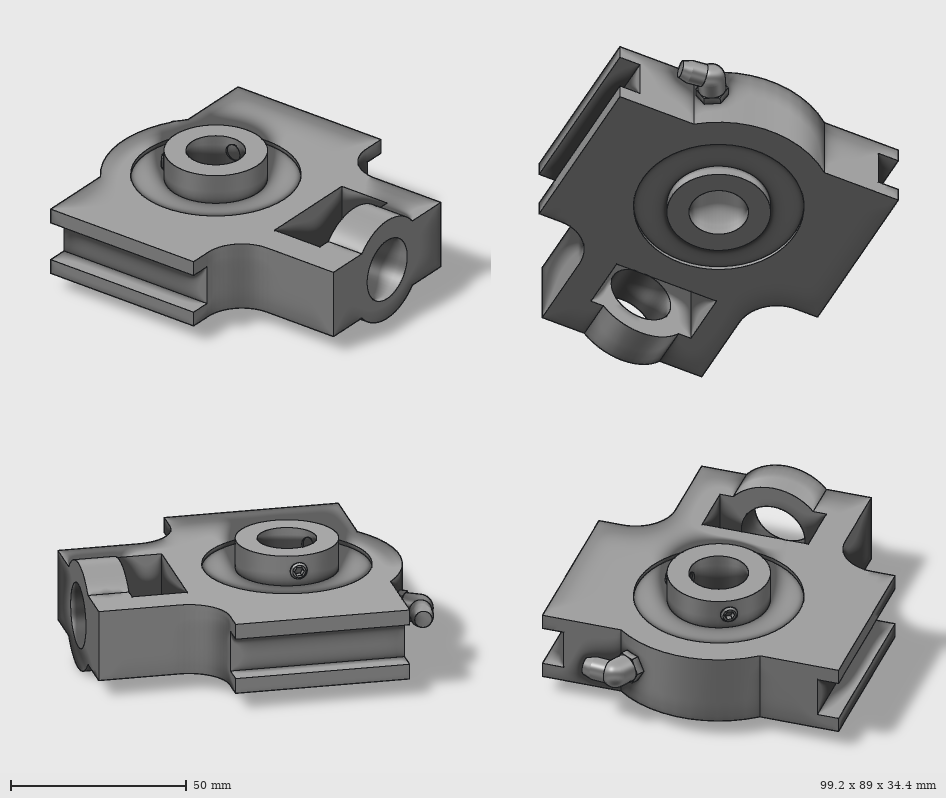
import cadquery as cq
import math


plate_width = 89.0
plate_thickness = 21.0
plate_half_length = 25.5
arm_half_width = 25.5
arm_end_x = 61.1
corner_radius = 12.0
nose_radius = 32.9

groove_width = 12.0
groove_depth = 6.3

window_start_x = 32.9
window_half_width = 16.0
boss_length = 12.0
boss_radius = 16.0
screw_bore_diameter = 19.0
boss_start_x = arm_end_x - boss_length

ring_diameter = 48.6
ring_recess = 1.2
ring_thickness = plate_thickness - 2 * ring_recess
collar_diameter = 29.6
shaft_diameter = 17.0
collar_top = 18.35
collar_bottom = -12.8

set_screw_diameter = 5.0
set_screw_angles = (90, 210)
set_screw_z = 13.8
set_screw_protrusion = 0.7
set_screw_chamfer = 0.6
set_screw_inset = 0.3
socket_across_flats = 2.5
socket_depth = 2.0
set_screw_inner = shaft_diameter / 2 + set_screw_inset
set_screw_outer = collar_diameter / 2 + set_screw_protrusion

nipple_angle = 150
nipple_z = 1.3
nipple_diameter = 8.0
hex_outer = 35.1
elbow_distance = 39.4
nipple_root = nose_radius - 2.0
neck_angle = 84
neck_diameter = 6.6
neck_length = 6.5
tip_diameter = 5.0
tip_length = 2.8


def centred_disc(diameter, thickness):
    return cq.Workplane("XY").circle(diameter / 2).extrude(thickness / 2, both=True)


def radial_plane(angle, distance, height):
    """Plane facing outward along a horizontal radius, with its local Y along Z."""
    turn = math.radians(angle)
    outward = cq.Vector(math.cos(turn), math.sin(turn), 0)
    sideways = cq.Vector(-math.sin(turn), math.cos(turn), 0)
    origin = outward * distance + cq.Vector(0, 0, height)
    return cq.Plane(origin=origin, xDir=sideways, normal=outward)


def hexagon_diameter(across_flats):
    """Corner-to-corner size of a hexagon."""
    return across_flats / math.cos(math.radians(30))


def make_plate():
    half_width = plate_width / 2
    fillet_x = plate_half_length + corner_radius
    fillet_y = arm_half_width + corner_radius
    arc_offset = corner_radius * math.sqrt(0.5)
    arc_middle = (fillet_x - arc_offset, fillet_y - arc_offset)
    plate = (
        cq.Workplane("XY")
        .moveTo(-plate_half_length, half_width)
        .lineTo(plate_half_length, half_width)
        .lineTo(plate_half_length, fillet_y)
        .threePointArc(arc_middle, (fillet_x, arm_half_width))
        .lineTo(arm_end_x, arm_half_width)
        .lineTo(arm_end_x, -arm_half_width)
        .lineTo(fillet_x, -arm_half_width)
        .threePointArc((arc_middle[0], -arc_middle[1]), (plate_half_length, -fillet_y))
        .lineTo(plate_half_length, -half_width)
        .lineTo(-plate_half_length, -half_width)
        .close()
        .extrude(plate_thickness / 2, both=True)
    )
    return plate.union(centred_disc(2 * nose_radius, plate_thickness))


def cut_guide_grooves(plate):
    groove = cq.Workplane("XY").box(2 * plate_half_length, 2 * groove_depth, groove_width)
    for side in (-1, 1):
        plate = plate.cut(groove.translate((0, side * plate_width / 2, 0)))
    return plate


def add_screw_boss(plate):
    boss_plane = cq.Workplane("YZ", origin=(boss_start_x, 0, 0))
    boss = boss_plane.circle(boss_radius).extrude(boss_length)
    bore = boss_plane.circle(screw_bore_diameter / 2).extrude(boss_length)
    window_length = boss_start_x - window_start_x
    window = cq.Workplane("XY").box(window_length, 2 * window_half_width, plate_thickness)
    window = window.translate((window_start_x + window_length / 2, 0, 0))
    return plate.cut(window).union(boss).cut(bore)


def turn_about_local_x(profile, angle, position):
    """Revolve a profile about X, point X along the given horizontal angle, then move it into place."""
    solid = profile.revolve(360, (0, 0, 0), (1, 0, 0))
    return solid.rotate((0, 0, 0), (0, 0, 1), angle).translate(position)


def make_nipple():
    root_plane = radial_plane(nipple_angle, nipple_root, nipple_z)
    hexagon = (
        cq.Workplane(root_plane)
        .polygon(6, hexagon_diameter(nipple_diameter))
        .extrude(hex_outer - nipple_root)
    )

    stem_radius = nipple_diameter / 2
    stem_length = elbow_distance - nipple_root
    arc_offset = stem_radius * math.sqrt(0.5)
    stem_profile = (
        cq.Workplane("XY")
        .lineTo(0, stem_radius)
        .lineTo(stem_length, stem_radius)
        .threePointArc((stem_length + arc_offset, arc_offset), (stem_length + stem_radius, 0))
        .close()
    )
    stem = turn_about_local_x(stem_profile, nipple_angle, root_plane.origin)

    elbow_centre = radial_plane(nipple_angle, elbow_distance, nipple_z).origin
    neck_profile = (
        cq.Workplane("XY")
        .lineTo(0, neck_diameter / 2)
        .lineTo(neck_length, neck_diameter / 2)
        .lineTo(neck_length + tip_length, tip_diameter / 2)
        .lineTo(neck_length + tip_length, 0)
        .close()
    )
    neck = turn_about_local_x(neck_profile, neck_angle, elbow_centre)
    return hexagon.union(stem).union(neck)


def make_housing():
    housing = add_screw_boss(cut_guide_grooves(make_plate()))
    housing = housing.union(make_nipple())
    bearing_seat = centred_disc(ring_diameter, plate_thickness)
    return housing.cut(bearing_seat)


def add_set_screw(bearing, angle):
    inner = cq.Workplane(radial_plane(angle, set_screw_inner, set_screw_z))
    outer = cq.Workplane(radial_plane(angle, set_screw_outer, set_screw_z))
    tapped_hole = (
        cq.Workplane(radial_plane(angle, 0, set_screw_z))
        .circle(set_screw_diameter / 2)
        .extrude(set_screw_outer)
    )
    screw = (
        inner.circle(set_screw_diameter / 2)
        .extrude(set_screw_outer - set_screw_inner)
        .faces(cq.selectors.DirectionMinMaxSelector(outer.plane.zDir, True))
        .chamfer(set_screw_chamfer)
    )
    socket = outer.polygon(6, hexagon_diameter(socket_across_flats)).extrude(-socket_depth)
    return bearing.cut(tapped_hole).union(screw.cut(socket))


def make_bearing():
    collar = (
        cq.Workplane("XY", origin=(0, 0, collar_bottom))
        .circle(collar_diameter / 2)
        .extrude(collar_top - collar_bottom)
    )
    shaft_bore = (
        cq.Workplane("XY", origin=(0, 0, collar_bottom))
        .circle(shaft_diameter / 2)
        .extrude(collar_top - collar_bottom)
    )
    bearing = centred_disc(ring_diameter, ring_thickness).union(collar).cut(shaft_bore)
    for angle in set_screw_angles:
        bearing = add_set_screw(bearing, angle)
    return bearing


housing = make_housing()
bearing = make_bearing()
result = cq.Compound.makeCompound([*housing.solids().vals(), *bearing.solids().vals()])